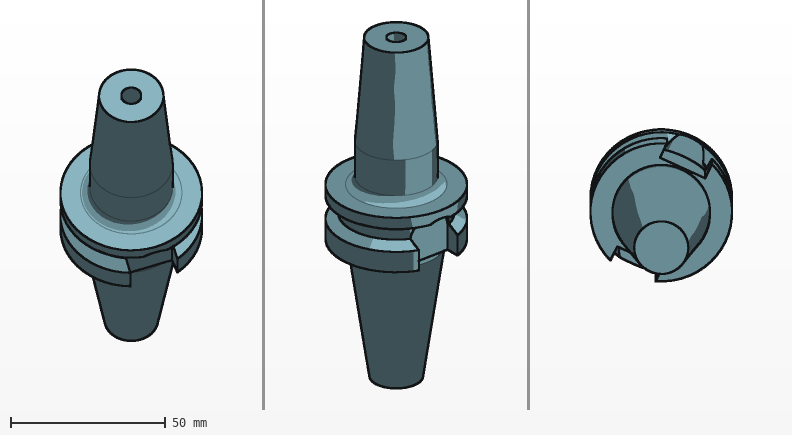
import cadquery as cq
import math

total_length = 124.6

shank_radius = 15.8
shank_taper = 7 / 24
shank_length = 48.3
shank_tip_radius = shank_radius - shank_length * shank_taper / 2

flange_radius = 22.99
flange_bottom = 50.5
flange_top = 70.5
groove_radius = 19.0
groove_floor_bottom = 60.3
groove_floor_top = 64.0
groove_wall_angle = math.radians(30)
groove_wall_height = (flange_radius - groove_radius) * math.tan(groove_wall_angle)

collar_radius = 13.5
blend_radius = 3.0
cone_bottom = 86.6
nose_tip_radius = 10.5

bore_diameter = 6.5
bore_depth = total_length - cone_bottom

slot_width = 16.2
slot_top = 67.5
slot_floor_distance = 16.3
slot_arc_center = slot_top - slot_width / 2


def make_body():
    """Revolve the complete outer half-profile about Z."""
    blend_reach = blend_radius * (1 - math.sqrt(0.5))
    return (
        cq.Workplane("XZ")
        .lineTo(shank_tip_radius, 0)
        .lineTo(shank_radius, shank_length)
        .lineTo(shank_radius, flange_bottom)
        .lineTo(flange_radius, flange_bottom)
        .lineTo(flange_radius, groove_floor_bottom - groove_wall_height)
        .lineTo(groove_radius, groove_floor_bottom)
        .lineTo(groove_radius, groove_floor_top)
        .lineTo(flange_radius, groove_floor_top + groove_wall_height)
        .lineTo(flange_radius, flange_top)
        .lineTo(collar_radius + blend_radius, flange_top)
        .threePointArc(
            (collar_radius + blend_reach, flange_top + blend_reach),
            (collar_radius, flange_top + blend_radius),
        )
        .lineTo(collar_radius, cone_bottom)
        .lineTo(nose_tip_radius, total_length)
        .lineTo(0, total_length)
        .close()
        .revolve(360, (0, 0, 0), (0, 1, 0))
    )


def make_drive_slot(turn):
    """Cutter for one drive slot, turned about Z from the +X side."""
    half_width = slot_width / 2
    return (
        cq.Workplane("YZ", origin=(slot_floor_distance, 0, 0))
        .moveTo(-half_width, flange_bottom)
        .lineTo(half_width, flange_bottom)
        .lineTo(half_width, slot_arc_center)
        .threePointArc((0, slot_top), (-half_width, slot_arc_center))
        .close()
        .extrude(flange_radius - slot_floor_distance)
        .rotate((0, 0, 0), (0, 0, 1), turn)
    )


result = make_body()

for slot_turn in (0, 180):
    result = result.cut(make_drive_slot(slot_turn))

bore = (
    cq.Workplane("XY", origin=(0, 0, total_length - bore_depth))
    .circle(bore_diameter / 2)
    .extrude(bore_depth)
)
result = result.cut(bore)